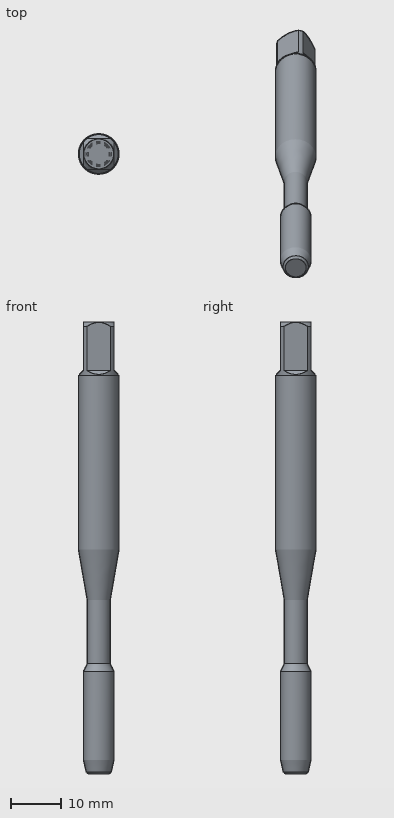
import cadquery as cq

overall_length = 90.1
tip_cone_length = 2.8
thread_shoulder_bottom = 20.45
thread_shoulder_top = 21.6
neck_bottom = 22.1
neck_top = 34.6
shank_bottom = 44.7
shank_top = 79.5

shank_diameter = 8.1
neck_diameter = 4.6
thread_diameter = 6.1
thread_shoulder_diameter = 5.0
tip_diameter = 5.05
tip_chamfer = 0.45

drive_diameter = 7.75
drive_width = 6.1
drive_chamfer = 0.9
drive_flat_bottom = shank_top + (shank_diameter - drive_width) / 2


def revolve_profile(points):
    """Turn (radius, height) points about the Z axis."""
    return cq.Workplane("XZ").polyline(points).close().revolve(360, (0, 0), (0, 1))


def make_drive_envelope():
    """Square bar whose foot flares outward at 45 degrees to the shank width."""
    bar_length = overall_length - drive_flat_bottom
    bar = (
        cq.Workplane("XY")
        .workplane(offset=drive_flat_bottom)
        .rect(drive_width, drive_width)
        .extrude(bar_length)
    )
    flare = (
        cq.Workplane("XY")
        .workplane(offset=shank_top)
        .rect(shank_diameter, shank_diameter)
        .workplane(offset=drive_flat_bottom - shank_top)
        .rect(drive_width, drive_width)
        .loft(ruled=True)
    )
    return bar.union(flare)


def make_shank():
    """Neck, taper and cylindrical shank with a chamfered square drive."""
    neck_radius = neck_diameter / 2
    shank_radius = shank_diameter / 2
    drive_radius = drive_diameter / 2
    lower = revolve_profile([
        (0, neck_bottom),
        (neck_radius, neck_bottom),
        (neck_radius, neck_top),
        (shank_radius, shank_bottom),
        (shank_radius, shank_top),
        (0, shank_top),
    ])
    drive_blank = revolve_profile([
        (0, shank_top),
        (drive_radius, shank_top),
        (drive_radius, overall_length - drive_chamfer),
        (drive_radius - drive_chamfer, overall_length),
        (0, overall_length),
    ])
    return lower.union(drive_blank.intersect(make_drive_envelope()))


def make_thread_section():
    """Plain thread cylinder with a tapered, chamfered tip and a two-step conical shoulder below the neck."""
    thread_radius = thread_diameter / 2
    tip_radius = tip_diameter / 2
    neck_radius = neck_diameter / 2
    return revolve_profile([
        (0, 0),
        (tip_radius - tip_chamfer, 0),
        (tip_radius, tip_chamfer),
        (thread_radius, tip_cone_length),
        (thread_radius, thread_shoulder_bottom),
        (thread_shoulder_diameter / 2, thread_shoulder_top),
        (neck_radius, neck_bottom),
        (0, neck_bottom),
    ])


shank = make_shank()
thread_section = make_thread_section()

result = cq.Compound.makeCompound([shank.val(), thread_section.val()])